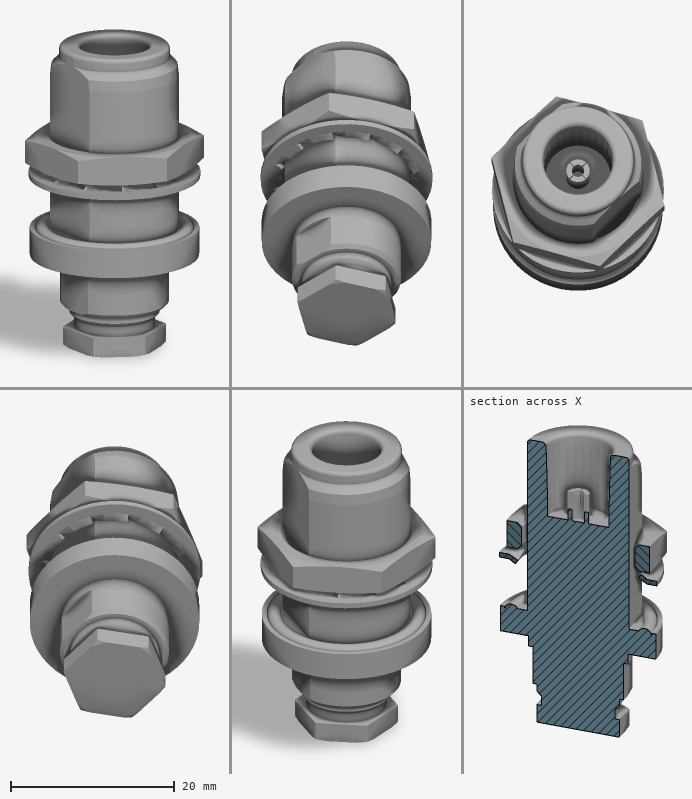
import cadquery as cq
import math


clamp_flats = 11.0
clamp_corner_radius = 6.3
clamp_height = 2.45
clamp_chamfer_radius = 5.8
clamp_chamfer_height = 0.2

neck_radius = 4.93
neck_top = 3.67
gland_radius = 5.5
gland_top = 5.15

rear_radius = 6.65
rear_chamfer = 0.45
rear_flats = 12.08
rear_flats_top = 10.13

flange_bottom = 11.5
flange_top = 15.0
flange_radius = 10.35
seal_ring_radius = 8.83
seal_section_radius = 0.9
seal_height = 14.52
seal_groove_floor = 14.6

barrel_radius = 7.87
barrel_root_radius = 7.85
barrel_root_top = 16.0
barrel_flats = 13.45
barrel_top = 34.4
shoulder_radius = 7.72
shoulder_top = 35.77
collar_radius = 6.75
collar_bottom = 36.7
collar_rounding = 0.5
overall_height = 38.22

mouth_rounding = 0.57
mouth_bore_radius = 4.25
socket_floor_radius = 4.0
socket_floor = 28.3
pin_radius = 1.4
pin_bore_radius = 0.75
pin_top = 32.1
pin_slot_width = 0.1
pin_slot_depth = 2.3

nut_flats = 19.0
nut_bottom = 23.05
nut_height = 3.65
nut_thread_radius = 7.5
nut_mouth_radius = 8.05
nut_chamfer_drop = 0.4

washer_diameter = 21.0
washer_radius = washer_diameter / 2
washer_mid_height = 21.82
washer_thickness = 0.7
tooth_count = 12
tooth_root_radius = 9.15
tooth_tip_radius = 8.35
tooth_inner_radius = 7.95
tooth_anchor_radius = 9.55
tooth_lift = 0.55
tooth_end_height = 0.57
tooth_bend_angle = 11.0


def cylinder(radius, bottom, top):
    return cq.Workplane("XY").workplane(offset=bottom).circle(radius).extrude(top - bottom)


def hexagon(across_flats, bottom, top):
    """Hexagonal prism with corners on the X axis and flats facing Y."""
    corner_diameter = across_flats / math.cos(math.radians(30))
    return cq.Workplane("XY").workplane(offset=bottom).polygon(6, corner_diameter).extrude(top - bottom)


def flat_sided_slab(across_flats, bottom, top):
    """Slab between the two planes Y = +-across_flats / 2, wider in X than the whole connector."""
    slab_length = 4 * washer_radius
    slab = cq.Workplane("XY").workplane(offset=bottom).rect(slab_length, across_flats)
    return slab.extrude(top - bottom)


def revolved(profile):
    """Full turn of an XZ profile about the Z axis."""
    return profile.close().revolve(360, (0, 0, 0), (0, 1, 0))


def make_clamp_hex():
    bottom_taper = revolved(
        cq.Workplane("XZ")
        .lineTo(clamp_chamfer_radius, 0)
        .lineTo(clamp_corner_radius, clamp_chamfer_height)
        .lineTo(clamp_corner_radius, clamp_height)
        .lineTo(0, clamp_height)
    )
    return hexagon(clamp_flats, 0, clamp_height).intersect(bottom_taper)


def make_gland():
    """Plain neck flaring at 45 degrees into the wider gland."""
    return revolved(
        cq.Workplane("XZ")
        .moveTo(0, clamp_height)
        .lineTo(neck_radius, clamp_height)
        .lineTo(neck_radius, neck_top)
        .lineTo(gland_radius, neck_top + gland_radius - neck_radius)
        .lineTo(gland_radius, gland_top)
        .lineTo(0, gland_top)
    )


def make_rear_barrel():
    barrel = cylinder(rear_radius, gland_top, flange_bottom).faces("<Z").chamfer(rear_chamfer)
    flatted = barrel.intersect(flat_sided_slab(rear_flats, gland_top, rear_flats_top))
    return flatted.union(barrel.intersect(flat_sided_slab(4 * rear_radius, rear_flats_top, flange_bottom)))


def make_flange():
    flange = cylinder(flange_radius, flange_bottom, flange_top)
    seal_ring = (
        cq.Workplane("XZ")
        .center(seal_ring_radius, seal_height)
        .circle(seal_section_radius)
        .revolve(360, (-seal_ring_radius, 0, 0), (-seal_ring_radius, 1, 0))
    )
    groove_radius = seal_ring_radius + seal_section_radius
    groove = cylinder(groove_radius, seal_groove_floor, flange_top)
    groove = groove.cut(cylinder(seal_ring_radius, seal_groove_floor, flange_top))
    return flange.cut(groove).union(seal_ring)


def make_front_barrel():
    barrel = revolved(
        cq.Workplane("XZ")
        .moveTo(0, flange_top)
        .lineTo(barrel_root_radius, flange_top)
        .lineTo(barrel_radius, barrel_root_top)
        .lineTo(barrel_radius, barrel_top)
        .lineTo(shoulder_radius, shoulder_top)
        .lineTo(collar_radius, collar_bottom)
        .lineTo(collar_radius, overall_height)
        .lineTo(0, overall_height)
    )
    barrel = barrel.faces(">Z").edges().fillet(collar_rounding)
    return barrel.intersect(flat_sided_slab(barrel_flats, flange_top, overall_height))


def make_socket():
    """Space inside the front barrel: a rounded mouth above a slightly tapered bore."""
    mouth_bottom = overall_height - mouth_rounding
    arc_reach = mouth_rounding * (1 - math.sqrt(0.5))
    return revolved(
        cq.Workplane("XZ")
        .moveTo(0, socket_floor)
        .lineTo(socket_floor_radius, socket_floor)
        .lineTo(mouth_bore_radius, mouth_bottom)
        .threePointArc(
            (mouth_bore_radius + arc_reach, overall_height - arc_reach),
            (mouth_bore_radius + mouth_rounding, overall_height),
        )
        .lineTo(0, overall_height)
    )


def make_contact_pin():
    """Hollow pin on the socket floor, split into four fingers by two crossed slots."""
    pin = cylinder(pin_radius, socket_floor, pin_top)
    pin = pin.cut(cylinder(pin_bore_radius, socket_floor, pin_top))
    slot_level = cq.Workplane("XY").workplane(offset=pin_top - pin_slot_depth)
    for slot_x, slot_y in ((2 * pin_radius, pin_slot_width), (pin_slot_width, 2 * pin_radius)):
        pin = pin.cut(slot_level.rect(slot_x, slot_y).extrude(pin_slot_depth))
    return pin


def make_connector_body():
    body = make_clamp_hex()
    for section in (make_gland(), make_rear_barrel(), make_flange(), make_front_barrel()):
        body = body.union(section)
    return body.cut(make_socket()).union(make_contact_pin())


def make_panel_nut(body):
    """Hex nut chamfered on both faces, its threaded hole fitted around the flatted barrel."""
    nut_top = nut_bottom + nut_height
    corner_radius = nut_flats / 2 / math.cos(math.radians(30))
    face_radius = nut_flats / 2
    corner_taper = revolved(
        cq.Workplane("XZ")
        .moveTo(0, nut_bottom)
        .lineTo(face_radius, nut_bottom)
        .lineTo(corner_radius, nut_bottom + nut_chamfer_drop)
        .lineTo(corner_radius, nut_top - nut_chamfer_drop)
        .lineTo(face_radius, nut_top)
        .lineTo(0, nut_top)
    )
    lead_in = nut_mouth_radius - nut_thread_radius
    hole = revolved(
        cq.Workplane("XZ")
        .moveTo(0, nut_bottom)
        .lineTo(nut_mouth_radius, nut_bottom)
        .lineTo(nut_thread_radius, nut_bottom + lead_in)
        .lineTo(nut_thread_radius, nut_top - lead_in)
        .lineTo(nut_mouth_radius, nut_top)
        .lineTo(0, nut_top)
    )
    return hexagon(nut_flats, nut_bottom, nut_top).intersect(corner_taper).cut(hole).cut(body)


def tooth_section(angle, bend):
    """Radial slice of a washer tooth: bend is 1 for inner end up, 0 for flat, -1 for inner end down."""
    half = washer_thickness / 2
    if bend == 0:
        inner_end = [(tooth_inner_radius, half), (tooth_inner_radius, -half)]
    else:
        tip_height = half + tooth_lift
        tip = (tooth_tip_radius, bend * tip_height)
        heel = (tooth_inner_radius, bend * (tip_height - tooth_end_height))
        inner_end = [tip, heel] if bend > 0 else [heel, tip]
    slice_points = [
        (tooth_anchor_radius, -half),
        (tooth_anchor_radius, half),
        (tooth_root_radius, half),
        *inner_end,
        (tooth_root_radius, -half),
    ]
    direction_x = math.cos(math.radians(angle))
    direction_y = math.sin(math.radians(angle))
    corners = [
        cq.Vector(radius * direction_x, radius * direction_y, washer_mid_height + height)
        for radius, height in slice_points
    ]
    return cq.Wire.makePolygon(corners, close=True)


def make_tooth(start_angle):
    """Twisted tooth: raised at its first cut edge, flat in the middle, lowered at its last."""
    pitch = 360 / tooth_count
    sections = [
        tooth_section(start_angle, 1),
        tooth_section(start_angle + tooth_bend_angle, 0),
        tooth_section(start_angle + pitch - tooth_bend_angle, 0),
        tooth_section(start_angle + pitch, -1),
    ]
    return cq.Workplane(obj=cq.Solid.makeLoft(sections, True))


def make_lock_washer():
    half = washer_thickness / 2
    bottom = washer_mid_height - half
    top = washer_mid_height + half
    washer = cylinder(washer_radius, bottom, top).cut(cylinder(tooth_root_radius, bottom, top))
    for tooth_index in range(tooth_count):
        washer = washer.union(make_tooth(tooth_index * 360 / tooth_count))
    return washer


connector_body = make_connector_body()
panel_nut = make_panel_nut(connector_body)
lock_washer = make_lock_washer()

bodies = (connector_body, panel_nut, lock_washer)
result = cq.Compound.makeCompound([body.solids().val() for body in bodies])